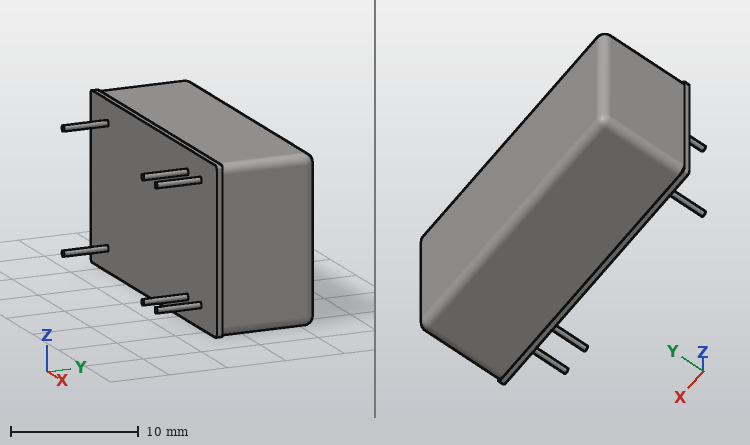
import cadquery as cq

length = 24.1
height = 14.0

total_depth = 12.3
pin_length = 3.78
plate_thickness = 0.5
case_depth = total_depth - pin_length - plate_thickness

case_radius = 0.8
plate_corner_radius = 0.3

pin_diameter = 0.5
pin_pitch = 2.53
pin_row_spacing = 10.17
pin_outer_x = 8.9
pin_columns = [-pin_outer_x, pin_outer_x - pin_pitch, pin_outer_x]
pin_rows = [-pin_row_spacing / 2, pin_row_spacing / 2]


def make_block(start_y, depth):
    """Block with the shared outline, running from start_y towards +Y."""
    return cq.Workplane("XY").box(length, depth, height).translate((0, start_y + depth / 2, 0))


def make_case():
    """Block rounded on its four side edges and around its back face."""
    return make_block(plate_thickness, case_depth).edges("|Y or >Y").fillet(case_radius)


def make_plate():
    """Thin base plate with slightly rounded corners."""
    return make_block(0, plate_thickness).edges("|Y").fillet(plate_corner_radius)


def make_pin(x, z):
    """Round pin standing on the outer face of the plate, pointing to -Y."""
    base = cq.Vector(x, 0, z)
    return cq.Solid.makeCylinder(pin_diameter / 2, pin_length, base, cq.Vector(0, -1, 0))


case = make_case()
plate = make_plate()
pins = []
for column_x in pin_columns:
    for row_z in pin_rows:
        pins.append(make_pin(column_x, row_z))

result = cq.Compound.makeCompound([case.val(), plate.val(), *pins])